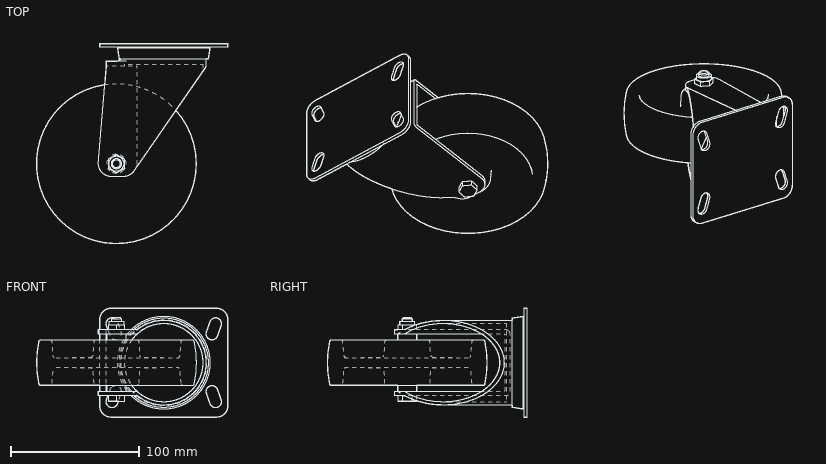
import cadquery as cq
import math


WHEEL_RADIUS = 62.3
TREAD_EDGE_RADIUS = 60.6
WHEEL_HALF_WIDTH = 17.8
TREAD_FILLET = 1.5
RECESS_RADIUS = 50.5
RECESS_FLOOR_RADIUS = 49.2
HUB_RADIUS = 17.5
HUB_BASE_RADIUS = 18.4
DISC_HUB_HALF_THICKNESS = 4.2
DISC_RIM_HALF_THICKNESS = 3.6
RECESS_FILLET = 1.9

PLATE_LENGTH = 100.0
PLATE_WIDTH = 85.0
PLATE_THICKNESS = 2.6
PLATE_TOP = 93.5
PLATE_BOTTOM = PLATE_TOP - PLATE_THICKNESS
PLATE_CORNER_RADIUS = 9.0
SLOT_WIDTH = 9.0
SLOT_OUTER_END = (40.3, 30.4)
SLOT_INNER_END = (37.5, 22.5)

SWIVEL_X = 36.9
CAP_TOP = 90.2
CAP_BOTTOM = 81.6
CAP_TOP_RADIUS = 36.1
CAP_BOTTOM_RADIUS = 69.6 / 2
NECK_RADIUS = 33.5

SHELL_RADIUS = 33.0
SHELL_INNER_RADIUS = 61.0 / 2
SHELL_WALL = SHELL_RADIUS - SHELL_INNER_RADIUS
LEG_OUTER_Z = 25.7
LEG_THICKNESS = 3.5
LEG_INNER_Z = LEG_OUTER_Z - LEG_THICKNESS
LEG_END_Y = -10.0
LEG_CORNER_RADIUS = 10.5
WEB_TOP = 79.9
WEB_THICKNESS = 3.7
WEB_BOTTOM = WEB_TOP - WEB_THICKNESS
BEND_RADIUS = 3.0
INNER_BEND_RADIUS = 1.0
FORK_BACK_TOP_X = -8.0
FORK_BACK_BOTTOM_X = -15.1
SHELL_EDGE_X = SWIVEL_X - math.sqrt(SHELL_RADIUS**2 - LEG_OUTER_Z**2)
SHELL_BLEND_RADIUS = 4.0
SEAM_MARGIN = 0.2
SLANT_X = 17.6
SLANT_SLOPE = 1.444

SPACER_DIAMETER = 15.0
BOLT_DIAMETER = 8.0
BOLT_END_Z = 35.0
BOLT_END_CHAMFER = 1.0
HEX_ACROSS_FLATS = 12.5
HEAD_HEIGHT = 4.5
NUT_HEIGHT = 3.7
NUT_COLLAR_DIAMETER = 11.7
NUT_COLLAR_HEIGHT = 2.8


def swivel_cylinder(radius, y_low, y_high):
    """Cylinder on the swivel axis between two Y levels."""
    return (
        cq.Workplane("XZ", origin=(SWIVEL_X, y_low, 0))
        .circle(radius)
        .extrude(y_low - y_high)
    )


def block(x_low, x_high, y_low, y_high, half_z):
    """Box between two X and two Y levels, centred on Z = 0."""
    return (
        cq.Workplane("XY", origin=(0, 0, -half_z))
        .moveTo(x_low, y_low)
        .lineTo(x_high, y_low)
        .lineTo(x_high, y_high)
        .lineTo(x_low, y_high)
        .close()
        .extrude(2 * half_z)
    )


def slant_x(y):
    """X of the slanted lower edge of the fork at height Y."""
    return SLANT_X + y / SLANT_SLOPE


def slant_y(x):
    """Height Y of the slanted lower edge of the fork at X."""
    return (x - SLANT_X) * SLANT_SLOPE


def make_wheel():
    """Crowned wheel with a recess and a hub on each side."""
    side = WHEEL_HALF_WIDTH
    tread = side - TREAD_FILLET
    wheel = (
        cq.Workplane("XZ")
        .lineTo(0, -side)
        .lineTo(HUB_RADIUS, -side)
        .lineTo(HUB_BASE_RADIUS, -DISC_HUB_HALF_THICKNESS)
        .lineTo(RECESS_FLOOR_RADIUS, -DISC_RIM_HALF_THICKNESS)
        .lineTo(RECESS_RADIUS, -side)
        .lineTo(TREAD_EDGE_RADIUS - TREAD_FILLET, -side)
        .radiusArc((TREAD_EDGE_RADIUS, -tread), -TREAD_FILLET)
        .threePointArc((WHEEL_RADIUS, 0), (TREAD_EDGE_RADIUS, tread))
        .radiusArc((TREAD_EDGE_RADIUS - TREAD_FILLET, side), -TREAD_FILLET)
        .lineTo(RECESS_RADIUS, side)
        .lineTo(RECESS_FLOOR_RADIUS, DISC_RIM_HALF_THICKNESS)
        .lineTo(HUB_BASE_RADIUS, DISC_HUB_HALF_THICKNESS)
        .lineTo(HUB_RADIUS, side)
        .lineTo(0, side)
        .close()
        .revolve(360, (0, 0), (0, 1))
    )
    zone_reach = RECESS_RADIUS + RECESS_FILLET
    recess_zone = cq.selectors.BoxSelector(
        (-zone_reach, -zone_reach, -side - RECESS_FILLET),
        (zone_reach, zone_reach, side + RECESS_FILLET),
        boundingbox=True,
    )
    return wheel.edges("%CIRCLE").edges(recess_zone).fillet(RECESS_FILLET)


def make_plate():
    """Rounded mounting plate with four slanted slots."""
    plate = (
        cq.Workplane("XZ", origin=(SWIVEL_X, PLATE_BOTTOM, 0))
        .rect(PLATE_LENGTH, PLATE_WIDTH)
        .extrude(-PLATE_THICKNESS)
        .edges("|Y")
        .fillet(PLATE_CORNER_RADIUS)
    )
    run_x = SLOT_OUTER_END[0] - SLOT_INNER_END[0]
    run_z = SLOT_OUTER_END[1] - SLOT_INNER_END[1]
    middle_x = (SLOT_OUTER_END[0] + SLOT_INNER_END[0]) / 2
    middle_z = (SLOT_OUTER_END[1] + SLOT_INNER_END[1]) / 2
    slot_length = math.hypot(run_x, run_z) + SLOT_WIDTH
    slot_angle = math.degrees(math.atan2(run_z, run_x))
    for side_x in (-1, 1):
        for side_z in (-1, 1):
            slot = (
                cq.Workplane("XZ", origin=(SWIVEL_X, PLATE_BOTTOM, 0))
                .center(side_x * middle_x, side_z * middle_z)
                .slot2D(slot_length, SLOT_WIDTH, side_x * side_z * slot_angle)
                .extrude(-PLATE_THICKNESS)
            )
            plate = plate.cut(slot)
    return plate


def make_swivel_head():
    """Tapered bearing cap with a short neck up to the plate."""
    cap = (
        cq.Workplane("XZ", origin=(SWIVEL_X, CAP_BOTTOM, 0))
        .circle(CAP_BOTTOM_RADIUS)
        .workplane(offset=CAP_BOTTOM - CAP_TOP)
        .circle(CAP_TOP_RADIUS)
        .loft()
    )
    return cap.union(swivel_cylinder(NECK_RADIUS, CAP_TOP, PLATE_BOTTOM))


def make_bracket():
    """U-shaped bracket: a web under the swivel head and two legs."""
    bracket = (
        cq.Workplane("XY", origin=(0, 0, -LEG_OUTER_Z))
        .moveTo(FORK_BACK_TOP_X, WEB_TOP)
        .lineTo(FORK_BACK_TOP_X, WEB_BOTTOM)
        .lineTo(FORK_BACK_BOTTOM_X, LEG_END_Y)
        .lineTo(slant_x(LEG_END_Y), LEG_END_Y)
        .lineTo(SWIVEL_X, slant_y(SWIVEL_X))
        .lineTo(SWIVEL_X, WEB_TOP)
        .close()
        .extrude(2 * LEG_OUTER_Z)
    )
    bracket = bracket.edges("|Z and <Y").fillet(LEG_CORNER_RADIUS)
    return bracket.faces(">Y").edges("|X").fillet(BEND_RADIUS)


def make_shell():
    """Solid cylinder on the swivel axis, cut off at a slant."""
    shell_right = SWIVEL_X + SHELL_RADIUS
    below_slant = (
        cq.Workplane("XY", origin=(0, 0, -SHELL_RADIUS))
        .moveTo(slant_x(LEG_END_Y), LEG_END_Y)
        .lineTo(shell_right, LEG_END_Y)
        .lineTo(shell_right, slant_y(shell_right))
        .close()
        .extrude(2 * SHELL_RADIUS)
    )
    return swivel_cylinder(SHELL_RADIUS, LEG_END_Y, CAP_TOP).cut(below_slant)


def make_fork():
    """Bracket blended into the shell, then hollowed out around the wheel."""
    fork = make_bracket().union(make_shell())
    seam_left = SWIVEL_X - SHELL_RADIUS - SEAM_MARGIN
    seam_bottom = slant_y(SHELL_EDGE_X) - SEAM_MARGIN
    seam_half_z = LEG_OUTER_Z + SEAM_MARGIN
    seam_zone = cq.selectors.BoxSelector(
        (seam_left, seam_bottom, -seam_half_z),
        (SHELL_EDGE_X + SEAM_MARGIN, WEB_TOP + SEAM_MARGIN, seam_half_z),
        boundingbox=True,
    )
    fork = fork.edges(seam_zone).fillet(SHELL_BLEND_RADIUS)
    gap = block(FORK_BACK_BOTTOM_X, SHELL_EDGE_X, LEG_END_Y, WEB_BOTTOM, LEG_INNER_Z)
    gap = gap.faces(">Y").edges("|X").fillet(INNER_BEND_RADIUS)
    cavity = swivel_cylinder(SHELL_INNER_RADIUS, LEG_END_Y, WEB_TOP - SHELL_WALL)
    return fork.cut(gap).cut(cavity)


def axle_cylinder(diameter, z_low, z_high):
    """Cylinder on the wheel axle between two Z levels."""
    return cq.Workplane("XY", origin=(0, 0, z_low)).circle(diameter / 2).extrude(z_high - z_low)


def axle_hexagon(z_low, z_high):
    """Hexagon on the wheel axle with two corners along Y."""
    return (
        cq.Workplane("XY", origin=(0, 0, z_low))
        .polygon(6, HEX_ACROSS_FLATS, circumscribed=True)
        .extrude(z_high - z_low)
    )


def make_axle():
    """Spacer tube, bolt with its head at -Z, and collared nut at +Z."""
    nut_top = LEG_OUTER_Z + NUT_HEIGHT
    bolt = axle_cylinder(BOLT_DIAMETER, -LEG_OUTER_Z, BOLT_END_Z)
    return (
        bolt.faces(">Z")
        .chamfer(BOLT_END_CHAMFER)
        .union(axle_cylinder(SPACER_DIAMETER, -LEG_INNER_Z, LEG_INNER_Z))
        .union(axle_hexagon(-LEG_OUTER_Z - HEAD_HEIGHT, -LEG_OUTER_Z))
        .union(axle_hexagon(LEG_OUTER_Z, nut_top))
        .union(axle_cylinder(NUT_COLLAR_DIAMETER, nut_top, nut_top + NUT_COLLAR_HEIGHT))
    )


result = (
    make_plate()
    .union(make_swivel_head())
    .union(make_fork())
    .union(make_axle())
    .union(make_wheel())
)